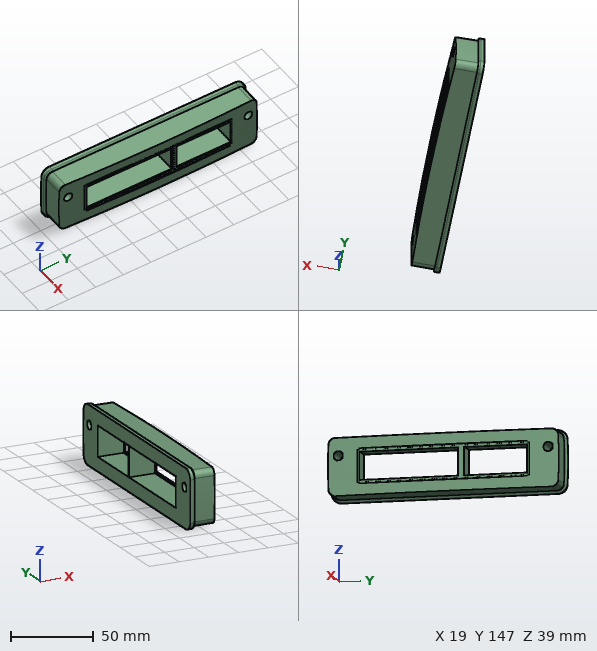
import cadquery as cq

length = 147.0
height = 39.0
depth = 19.0
end_bulge = 0.6

flange_thickness = 3.5
flange_rounding = 1.0
draft_angle = 0.5
flange_corner_radius = 5.9
body_inset = 1.5
body_corner_radius = flange_corner_radius - body_inset
face_bow = 1.8

window_edge = 53.5
divider_left = 11.8
divider_right = 10.6
window_height = 20.0
lip_width = 1.3
lip_start = 17.3

recess_floor = 18.1
recess_margin = 0.81

hole_diameter = 5.7
hole_spacing = 130.5
hole_z = 6.8


def rounded_plate(inset, thickness, corner_radius):
    """Drafted plate from X = 0 with slightly bowed ends and rounded corners."""
    end_y = length / 2 - inset
    corner_y = end_y - end_bulge
    top_z = height / 2 - inset
    straight_plate = (
        cq.Workplane("YZ")
        .moveTo(-corner_y, -top_z)
        .lineTo(corner_y, -top_z)
        .threePointArc((end_y, 0), (corner_y, top_z))
        .lineTo(-corner_y, top_z)
        .threePointArc((-end_y, 0), (-corner_y, -top_z))
        .close()
        .extrude(thickness)
        .edges("|X")
        .fillet(corner_radius)
    )
    base_outline = straight_plate.faces("<X").wires().vals()
    return cq.Workplane("YZ").add(base_outline).toPending().extrude(thickness, taper=draft_angle)


def bowed_envelope():
    """Block whose +X face arches along the length of the part."""
    end_x = depth - face_bow
    return (
        cq.Workplane("XY")
        .moveTo(0, -length / 2)
        .lineTo(end_x, -length / 2)
        .threePointArc((depth, 0), (end_x, length / 2))
        .lineTo(0, length / 2)
        .close()
        .extrude(height / 2, both=True)
    )


def block(x_start, x_end, y_start, y_end, z_size):
    """Box between the given X and Y limits, centred on Z = 0."""
    return (
        cq.Workplane("XY")
        .box(x_end - x_start, y_end - y_start, z_size, centered=(False, False, True))
        .translate((x_start, y_start, 0))
    )


flange = rounded_plate(0, flange_thickness, flange_corner_radius)
flange = flange.faces(">X").fillet(flange_rounding)
body = rounded_plate(body_inset, depth, body_corner_radius).intersect(bowed_envelope())
result = flange.union(body)

recess_edge = window_edge + recess_margin
recess_height = window_height + 2 * recess_margin
result = result.cut(block(recess_floor, depth, -recess_edge, recess_edge, recess_height))

for y_start, y_end in ((-window_edge, divider_right), (divider_left, window_edge)):
    result = result.cut(block(0, lip_start, y_start, y_end, window_height))
    lip_opening = block(
        0, depth, y_start + lip_width, y_end - lip_width, window_height - 2 * lip_width
    )
    result = result.cut(lip_opening)

for hole_y in (-hole_spacing / 2, hole_spacing / 2):
    hole = cq.Workplane("YZ").center(hole_y, hole_z).circle(hole_diameter / 2).extrude(depth)
    result = result.cut(hole)